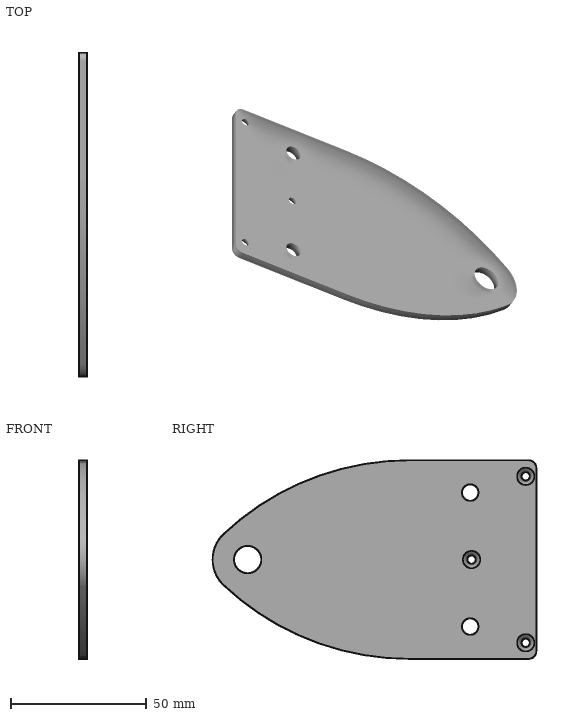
import cadquery as cq
import math

thickness = 3.0
width = 73.5
half_width = width / 2
straight_length = 47.0
back_corner_radius = 3.0

side_radius = 100.0
tip_radius = 13.0
side_center_y = -straight_length
side_center_z = half_width - side_radius
center_distance = side_radius - tip_radius
tip_center_y = side_center_y - math.sqrt(center_distance**2 - side_center_z**2)
tip_y = tip_center_y - tip_radius

tip_hole_diameter = 10.0
mount_hole_diameter = 6.0
mount_hole_y = -24.5
mount_hole_edge_margin = 12.0
screw_hole_diameter = 3.0
countersink_diameter = 6.4
countersink_angle = 90.0
corner_hole_y = -4.0
corner_hole_edge_margin = 6.0
center_hole_y = -24.0


def side_arc_point(angle):
    """Point on the upper side arc, at an angle measured from +Z towards -Y."""
    y = side_center_y - side_radius * math.sin(angle)
    z = side_center_z + side_radius * math.cos(angle)
    return (y, z)


def mirrored(point):
    """Point reflected across the plate's centre line."""
    return (point[0], -point[1])


def make_plate():
    blend_angle = math.asin((side_center_y - tip_center_y) / center_distance)
    side_start = side_arc_point(0)
    side_middle = side_arc_point(blend_angle / 2)
    side_end = side_arc_point(blend_angle)
    plate = (
        cq.Workplane("YZ")
        .moveTo(0, half_width)
        .lineTo(*side_start)
        .threePointArc(side_middle, side_end)
        .threePointArc((tip_y, 0), mirrored(side_end))
        .threePointArc(mirrored(side_middle), mirrored(side_start))
        .lineTo(0, -half_width)
        .close()
        .extrude(thickness)
    )
    return plate.edges("|X and >Y").fillet(back_corner_radius)


def cut_holes(plate, diameter, centers):
    drills = cq.Workplane("YZ").pushPoints(centers).circle(diameter / 2).extrude(thickness)
    return plate.cut(drills)


def cut_screw_holes(plate, centers):
    """Through holes countersunk from the +X face."""
    return (
        plate.faces(">X")
        .workplane(origin=(0, 0, 0))
        .pushPoints(centers)
        .cskHole(screw_hole_diameter, countersink_diameter, countersink_angle)
    )


def mirrored_pair(y, edge_margin):
    """Two hole centres, each set in by edge_margin from a long edge."""
    upper = (y, half_width - edge_margin)
    return [upper, mirrored(upper)]


corner_holes = mirrored_pair(corner_hole_y, corner_hole_edge_margin)
mount_holes = mirrored_pair(mount_hole_y, mount_hole_edge_margin)

result = make_plate()
result = cut_holes(result, tip_hole_diameter, [(tip_center_y, 0)])
result = cut_holes(result, mount_hole_diameter, mount_holes)
result = cut_screw_holes(result, corner_holes + [(center_hole_y, 0)])